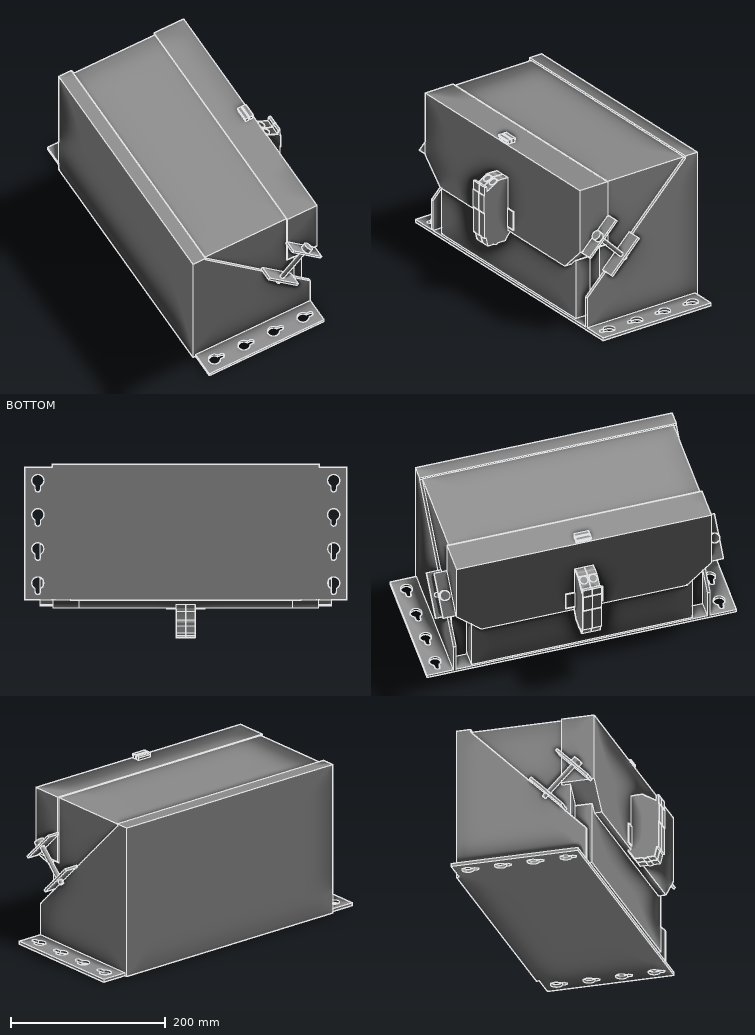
import cadquery as cq
import math


casing_width = 346.0
casing_depth = 175.5
casing_rear_height = 47.5
casing_front_height = 207.2
lip_depth = 19.0
sheet_thickness = 3.8
casing_slope_sum = casing_depth + casing_rear_height

core_width = casing_width - 2 * sheet_thickness
core_depth = 153.5
core_height = 204.7

rear_cover_width = 343.5
rear_cover_front = 141.8
rear_cover_back = 186.5
rear_cover_bottom = 82.5
rear_cover_top = 206.0
rear_cover_chamfer = 33.5

back_block_width = 297.7
back_block_back = 176.5
back_block_bottom = 8.0
back_block_top = 91.7

base_width = 417.0
base_thickness = 4.0
base_front = 3.8

keyhole_count = 4
keyhole_pitch = 44.0
keyhole_first_y = 21.3
keyhole_x = 191.5
keyhole_diameter = 15.5
keyhole_slot_width = 6.5
keyhole_slot_reach = 14.5

bracket_outer_x = 189.0
lower_bracket_thickness = 3.5
lower_bracket_low = -69.5
lower_bracket_high = 15.5
upper_bracket_sum = 298.5
upper_bracket_thickness = 3.0
upper_bracket_low = -68.5
upper_bracket_high = 16.0

screw_x = 182.0
screw_diff = -27.5
screw_tip_sum = 215.0
screw_diameter = 6.0
screw_head_diameter = 13.0
screw_head_height = 6.5

clip_width = 20.0
clip_front = 173.5
clip_cap_front = 173.0
clip_back = 184.5
clip_cap_back = 185.5
clip_cap_bottom = 209.5
clip_top = 212.0
clip_gap_y = 179.0
clip_gap_width = 1.5
clip_groove_depth = 1.0
clip_groove_end = 1.0

terminal_left = -12.5
terminal_module_count = 2
terminal_module_width = 12.0
terminal_seam = 0.5
terminal_right = 13.0
terminal_inset = 0.5
terminal_top = 159.7
terminal_bottom = 69.2
terminal_front = 182.0
terminal_back = 224.0
terminal_edge_bottom = 81.7
terminal_front_drop = 1.0
terminal_crest_y = 194.7
terminal_fin_front = 220.5
terminal_fin_top = 156.0
terminal_bulge_back = 224.8
terminal_bulge_bottom = 118.0
terminal_bulge_top = 144.0
terminal_foot_y = 205.5
terminal_foot_half_length = 3.8
terminal_foot_height = 1.3
terminal_slope_high = (202.0, terminal_top)
terminal_slope_low = (219.8, 149.0)
terminal_rear_taper_high = (221.5, terminal_edge_bottom)
terminal_rear_taper_low = (218.5, terminal_bottom)
terminal_front_taper_low = (191.0, terminal_bottom)
terminal_front_taper_high = (187.5, 74.5)
terminal_screw_y = 206.5
terminal_screw_diameter = 10.5
terminal_screw_depth = 1.0

rail_width = 50.0
rail_back = 187.5
rail_bottom = 88.0
rail_top = 115.0


def box(x0, x1, y0, y1, z0, z1):
    """Box between opposite corner planes."""
    return cq.Workplane("XY").box(x1 - x0, y1 - y0, z1 - z0, centered=False).translate((x0, y0, z0))


def centred_box(width, y0, y1, z0, z1):
    """Box that is symmetric about X = 0."""
    return box(-width / 2, width / 2, y0, y1, z0, z1)


def prism_x(points, x0, x1):
    """Extrude a (Y, Z) outline from x0 to x1."""
    return cq.Workplane("YZ", origin=(x0, 0, 0)).polyline(points).close().extrude(x1 - x0)


def slope_point(total, diff):
    """(Y, Z) of the point with Y + Z = total and Z - Y = diff."""
    return ((total - diff) / 2, (total + diff) / 2)


def mirrored(body):
    """Body on the left together with its copy on the right."""
    return body.union(body.mirror("YZ"))


def make_casing():
    outline = [
        (0, 0),
        (casing_depth, 0),
        (casing_depth, casing_rear_height),
        (lip_depth, casing_slope_sum - lip_depth),
        (lip_depth, casing_front_height),
        (0, casing_front_height),
    ]
    half_width = casing_width / 2
    side_wall = prism_x(outline, -half_width, -core_width / 2)
    front = centred_box(casing_width, 0, lip_depth, 0, casing_front_height)
    return mirrored(side_wall).union(front)


def make_body():
    core = centred_box(core_width, 0, core_depth, 0, core_height)
    back_block = centred_box(
        back_block_width, core_depth, back_block_back, back_block_bottom, back_block_top
    )
    rear_cover = centred_box(
        rear_cover_width, rear_cover_front, rear_cover_back, rear_cover_bottom, rear_cover_top
    )
    rear_cover = rear_cover.edges("|Y and <Z").chamfer(rear_cover_chamfer)
    return core.union(back_block).union(rear_cover)


def make_base():
    plate = centred_box(base_width, base_front, casing_depth, 0, base_thickness)
    centres = [
        (side * keyhole_x, keyhole_first_y + i * keyhole_pitch)
        for side in (-1, 1)
        for i in range(keyhole_count)
    ]
    slot_centres = [(x, y + keyhole_slot_reach / 2) for x, y in centres]
    holes = cq.Workplane("XY").pushPoints(centres).circle(keyhole_diameter / 2).extrude(base_thickness)
    slots = (
        cq.Workplane("XY")
        .pushPoints(slot_centres)
        .slot2D(keyhole_slot_reach, keyhole_slot_width, 90)
        .extrude(base_thickness)
    )
    return plate.cut(holes).cut(slots)


def make_bracket(outer_sum, thickness, low, high, inner_x):
    inner_sum = outer_sum - thickness * math.sqrt(2)
    corners = [
        slope_point(inner_sum, low),
        slope_point(outer_sum, low),
        slope_point(outer_sum, high),
        slope_point(inner_sum, high),
    ]
    return prism_x(corners, -bracket_outer_x, -inner_x)


def make_screw():
    tip = slope_point(screw_tip_sum, screw_diff)
    axis_plane = cq.Plane(origin=(-screw_x, *tip), xDir=(1, 0, 0), normal=(0, 1, 1))
    shank_length = (upper_bracket_sum - screw_tip_sum) / math.sqrt(2)
    shank = cq.Workplane(axis_plane).circle(screw_diameter / 2).extrude(shank_length)
    head = (
        cq.Workplane(axis_plane)
        .workplane(offset=shank_length)
        .circle(screw_head_diameter / 2)
        .extrude(screw_head_height)
    )
    return shank.union(head)


def make_clamps():
    lower_sum = casing_slope_sum + lower_bracket_thickness * math.sqrt(2)
    lower = make_bracket(
        lower_sum, lower_bracket_thickness, lower_bracket_low, lower_bracket_high, core_width / 2
    )
    upper = make_bracket(
        upper_bracket_sum,
        upper_bracket_thickness,
        upper_bracket_low,
        upper_bracket_high,
        rear_cover_width / 2,
    )
    return mirrored(lower.union(upper).union(make_screw()))


def make_clip():
    gap_front = clip_gap_y - clip_gap_width / 2
    gap_back = clip_gap_y + clip_gap_width / 2
    front_leg = centred_box(clip_width, clip_front, gap_front, rear_cover_top, clip_cap_bottom)
    back_leg = centred_box(clip_width, gap_back, clip_back, rear_cover_top, clip_cap_bottom)
    cap = centred_box(clip_width, clip_cap_front, clip_cap_back, clip_cap_bottom, clip_top)
    groove = centred_box(
        clip_width - 2 * clip_groove_end, gap_front, gap_back, clip_top - clip_groove_depth, clip_top
    )
    return front_leg.union(back_leg).union(cap.cut(groove))


def terminal_outline(x):
    """Closed (Y, Z) outline of a terminal module on the plane at x."""
    return (
        cq.Workplane("YZ", origin=(x, 0, 0))
        .moveTo(terminal_front, terminal_edge_bottom)
        .lineTo(terminal_front, terminal_top - terminal_front_drop)
        .lineTo(terminal_crest_y, terminal_top)
        .lineTo(*terminal_slope_high)
        .lineTo(*terminal_slope_low)
        .lineTo(terminal_fin_front, terminal_fin_top)
        .lineTo(terminal_back, terminal_fin_top)
        .lineTo(terminal_back, terminal_bulge_top)
        .lineTo(terminal_bulge_back, terminal_bulge_top)
        .lineTo(terminal_bulge_back, terminal_bulge_bottom)
        .lineTo(terminal_back, terminal_bulge_bottom)
        .lineTo(terminal_back, terminal_edge_bottom)
        .lineTo(*terminal_rear_taper_high)
        .lineTo(*terminal_rear_taper_low)
        .lineTo(terminal_foot_y + terminal_foot_half_length, terminal_bottom)
        .threePointArc(
            (terminal_foot_y, terminal_bottom - terminal_foot_height),
            (terminal_foot_y - terminal_foot_half_length, terminal_bottom),
        )
        .lineTo(*terminal_front_taper_low)
        .lineTo(*terminal_front_taper_high)
        .close()
    )


def make_terminal():
    slope_y = terminal_slope_low[0] - terminal_slope_high[0]
    slope_z = terminal_slope_low[1] - terminal_slope_high[1]
    screw_z = terminal_top + (terminal_screw_y - terminal_slope_high[0]) * slope_z / slope_y
    block = terminal_outline(terminal_left).offset2D(-terminal_inset).extrude(terminal_right - terminal_left)
    for i in range(terminal_module_count):
        left = terminal_left + i * (terminal_module_width + terminal_seam)
        block = block.union(terminal_outline(left).extrude(terminal_module_width))
        recess_plane = cq.Plane(
            origin=(left + terminal_module_width / 2, terminal_screw_y, screw_z),
            xDir=(1, 0, 0),
            normal=(0, -slope_z, slope_y),
        )
        recess = cq.Workplane(recess_plane).circle(terminal_screw_diameter / 2).extrude(-terminal_screw_depth)
        block = block.cut(recess)
    return block


def make_rail():
    return centred_box(rail_width, rear_cover_back, rail_back, rail_bottom, rail_top)


result = (
    make_casing()
    .union(make_body())
    .union(make_base())
    .union(make_clamps())
    .union(make_clip())
    .union(make_rail())
    .union(make_terminal())
)